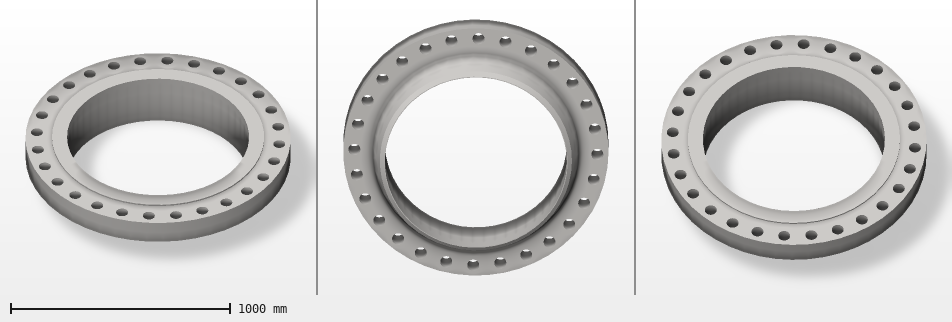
import cadquery as cq

flange_diameter = 1206.0
total_height = 247.0
bore_diameter = 828.0

face_diameter = 965.0
face_height = 7.0
plate_thickness = 111.0

hub_root_diameter = 943.0
hub_fillet_radius = 15.0
hub_end_diameter = 874.0
weld_bevel_height = 17.0
weld_land_diameter = 835.0

bolt_count = 28
bolt_circle_diameter = 1105.0
bolt_hole_diameter = 54.0

plate_top = total_height - face_height
plate_bottom = plate_top - plate_thickness


def flange_body():
    """Revolve the half section of face, plate, hub and weld bevel around the bore."""
    half_section = [
        (bore_diameter / 2, 0),
        (weld_land_diameter / 2, 0),
        (hub_end_diameter / 2, weld_bevel_height),
        (hub_root_diameter / 2, plate_bottom),
        (flange_diameter / 2, plate_bottom),
        (flange_diameter / 2, plate_top),
        (face_diameter / 2, plate_top),
        (face_diameter / 2, total_height),
        (bore_diameter / 2, total_height),
    ]
    section = cq.Workplane("XZ").polyline(half_section).close()
    return section.revolve(360, (0, 0, 0), (0, 1, 0))


def round_hub_root(body):
    """Fillet the corner where the hub meets the underside of the plate."""
    hub_root_rank = 3
    hub_root = cq.selectors.RadiusNthSelector(hub_root_rank)
    return body.edges("%CIRCLE").edges(hub_root).fillet(hub_fillet_radius)


def bolt_holes():
    """Ring of cylinders that cut through the plate."""
    ring = cq.Workplane("XY").polarArray(bolt_circle_diameter / 2, 0, 360, bolt_count)
    return ring.circle(bolt_hole_diameter / 2).extrude(total_height)


result = round_hub_root(flange_body()).cut(bolt_holes())